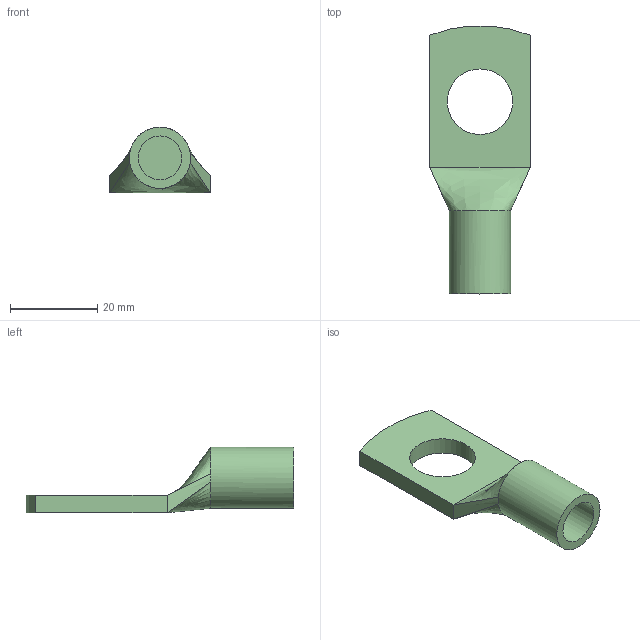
import cadquery as cq
import math


palm_width = 23.0
palm_thickness = 4.0
overall_length = 61.41
tip_radius = 31.0

barrel_diameter = 14.0
bore_diameter = 10.0
barrel_length = 19.0
barrel_top = 15.0

neck_length = 10.0
side_angle = 8.05

grid_intervals = 24
grid_degree = 6
fit_tolerance = 1e-5
sewing_tolerance = 1e-4

stud_diameter = 15.0
stud_setback = 15.0

barrel_radius = barrel_diameter / 2
barrel_axis_z = barrel_top - barrel_radius
palm_start_y = barrel_length + neck_length
half_width = palm_width / 2
tip_sag = tip_radius - math.sqrt(tip_radius**2 - half_width**2)
side_end_y = overall_length - tip_sag


def make_barrel():
    """Cylinder along Y, starting at the mouth."""
    mouth = cq.Workplane("XZ", origin=(0, 0, barrel_axis_z))
    return mouth.circle(barrel_radius).extrude(-barrel_length)


def barrel_point(angle):
    """Point on the inner end rim of the barrel, angle in degrees from +X."""
    turn = math.radians(angle)
    return cq.Vector(
        barrel_radius * math.cos(turn),
        barrel_length,
        barrel_axis_z + barrel_radius * math.sin(turn),
    )


def rim_arc(start_angle, end_angle):
    """Arc of the barrel rim between two angles."""
    middle_angle = (start_angle + end_angle) / 2
    return cq.Edge.makeThreePointArc(
        barrel_point(start_angle), barrel_point(middle_angle), barrel_point(end_angle)
    )


def neck_top_point(along, across):
    """Point on the neck top: along runs from palm (0) to barrel (1), across from +X (0) to -X (1).

    Straight rules join the palm edge to the rim. Inside the two straight sides each rule
    sags, so that the centre line leaves the palm level and follows its chord at the barrel.
    """
    rim_point = barrel_point(side_angle + across * (180 - 2 * side_angle))
    palm_point = cq.Vector(half_width * (1 - 2 * across), palm_start_y, palm_thickness)
    side_z = barrel_point(side_angle).z
    crown = (rim_point.z - side_z) / (barrel_top - side_z)
    sag = (barrel_top - palm_thickness) * crown * along * (1 - along) ** 2
    return palm_point + (rim_point - palm_point) * along - cq.Vector(0, 0, sag)


def make_neck_top():
    """Smooth face through a grid of neck top points."""
    steps = [i / grid_intervals for i in range(grid_intervals + 1)]
    grid = [[neck_top_point(along, across) for across in steps] for along in steps]
    return cq.Face.makeSplineApprox(grid, tol=fit_tolerance, maxDeg=grid_degree)


def make_neck():
    """Solid from the round barrel rim to the rectangular palm end."""
    corners = [
        cq.Vector(half_width, palm_start_y, palm_thickness),
        cq.Vector(-half_width, palm_start_y, palm_thickness),
        cq.Vector(-half_width, palm_start_y, 0),
        cq.Vector(half_width, palm_start_y, 0),
    ]
    palm_edges = [
        cq.Edge.makeLine(start, end) for start, end in zip(corners, corners[1:] + corners[:1])
    ]
    rim_arcs = [
        rim_arc(side_angle, 180 - side_angle),
        rim_arc(180 - side_angle, 180 + side_angle),
        rim_arc(180 + side_angle, 360 - side_angle),
        rim_arc(-side_angle, side_angle),
    ]
    ruled_faces = [
        cq.Face.makeRuledSurface(arc, edge) for arc, edge in zip(rim_arcs[1:], palm_edges[1:])
    ]
    barrel_end = cq.Face.makeFromWires(cq.Wire.assembleEdges(rim_arcs))
    palm_end = cq.Face.makeFromWires(cq.Wire.assembleEdges(palm_edges))
    faces = ruled_faces + [make_neck_top(), barrel_end, palm_end]
    shell = cq.occ_impl.shapes.shell(*faces, tol=sewing_tolerance)
    return cq.Workplane(cq.Solid.makeSolid(shell))


def make_palm():
    """Flat plate with a rounded tip and the stud hole."""
    plate = (
        cq.Workplane("XY")
        .moveTo(-half_width, palm_start_y)
        .lineTo(half_width, palm_start_y)
        .lineTo(half_width, side_end_y)
        .threePointArc((0, overall_length), (-half_width, side_end_y))
        .close()
        .extrude(palm_thickness)
    )
    stud_hole = (
        cq.Workplane("XY", origin=(0, palm_start_y + stud_setback, 0))
        .circle(stud_diameter / 2)
        .extrude(palm_thickness)
    )
    return plate.cut(stud_hole)


def make_bore():
    """Blind bore running the length of the barrel."""
    mouth = cq.Workplane("XZ", origin=(0, 0, barrel_axis_z))
    return mouth.circle(bore_diameter / 2).extrude(-barrel_length)


result = make_barrel().union(make_neck()).union(make_palm()).cut(make_bore())